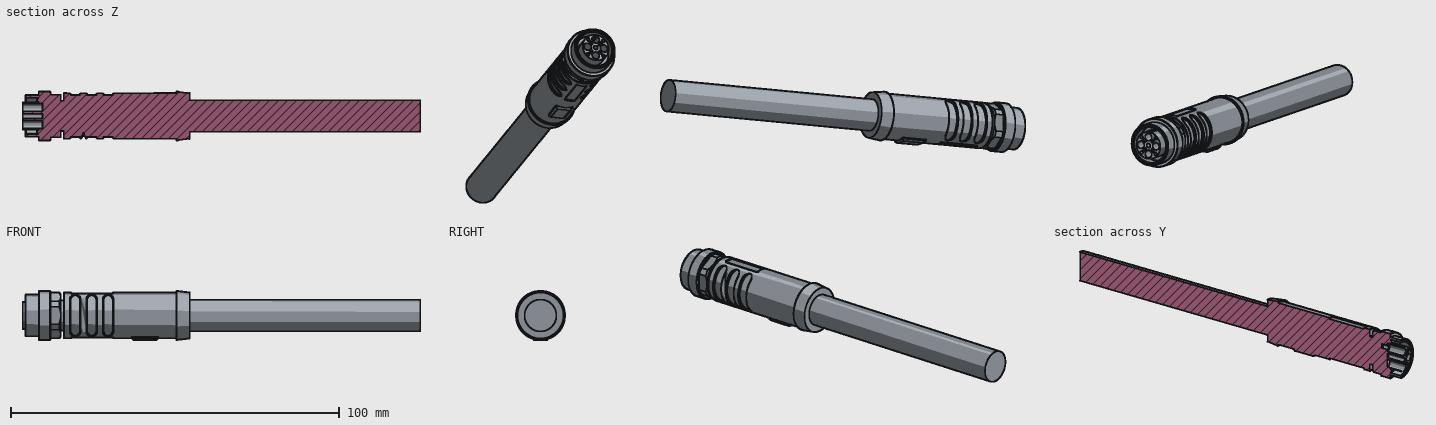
import cadquery as cq
import math

TOTAL_LENGTH = 121.0
SLEEVE_START = 0.75
RING_START = 4.85
RING_END = 8.6
NUT_END = 11.6
BODY_START = 12.5
COLLAR_START = 46.8
BODY_END = 50.9

SLEEVE_DIA = 12.8
SLEEVE_FACE_DIA = 12.3
RING_DIA = 15.0
NUT_CORNER_DIA = 14.0
NUT_ACROSS_FLATS = 13.0
NECK_DIA = 9.3
BODY_DIA = 14.0
COLLAR_DIA = 15.0
CABLE_DIA = 9.7
FRONT_EDGE_CHAMFER = 0.15
RING_BACK_CHAMFER = 0.35
NUT_CHAMFER = 0.5
NUT_SIDES = 6

BORE_DIA = 10.95
BORE_CHAMFER = 0.35
BORE_END = 5.0
INSERT_DIA = 8.3
SEAL_SECTION_RADIUS = (BORE_DIA - INSERT_DIA) / 4
SEAL_RING_RADIUS = (BORE_DIA + INSERT_DIA) / 4

CONTACT_DIA = 2.3
CONTACT_COUNT = 4
CONTACT_PITCH_RADIUS = 2.6
CONTACT_DEPTH = 6.0
INNER_CONTACT_DIA = 1.2
INNER_CONTACT_DEPTH = 8.0
CENTRE_HOLE_DIA = 1.3
SLOT_WIDTH = 0.4
SLOT_INNER_RADIUS = 1.5
SLOT_OUTER_RADIUS = 3.4
SLOT_END_DIA = 0.9
SLOT_DEPTH = 4.0
KEYWAY_WIDTH = 1.0
KEYWAY_OUTER_RADIUS = 4.0

GRIP_COUNT = 3
GRIP_FIRST = 16.0
GRIP_PITCH = 5.0
GRIP_WIDTH = 2.7
GRIP_FLOOR_DIA = 12.8
GRIP_HALF_HEIGHT = 6.15
GRIP_EDGE_CHAMFER = 0.3
SURFACE_TOLERANCE = 0.01

POCKET_START = 14.7
POCKET_END = 27.6
POCKET_WIDTH = 3.3
POCKET_FLOOR = 6.6
POCKET_CORNER = 0.5

PAD_START = 33.2
PAD_END = 41.3
PAD_WIDTH = 5.2
PAD_CHAMFER = 0.6
PAD_BOTTOM = -RING_DIA / 2


def turned(points):
    """Solid of revolution about X from (x, radius) points, closed along the axis."""
    first_x = points[0][0]
    last_x = points[-1][0]
    outline = [(first_x, 0), *points, (last_x, 0)]
    return cq.Workplane("XZ").polyline(outline).close().revolve(360, (0, 0, 0), (1, 0, 0))


def cylinder(dia, start, end):
    return turned([(start, dia / 2), (end, dia / 2)])


def make_sleeve():
    front_chamfer = (SLEEVE_DIA - SLEEVE_FACE_DIA) / 2
    return turned([
        (SLEEVE_START, SLEEVE_FACE_DIA / 2),
        (SLEEVE_START + front_chamfer, SLEEVE_DIA / 2),
        (RING_START, SLEEVE_DIA / 2),
        (RING_START, RING_DIA / 2 - FRONT_EDGE_CHAMFER),
        (RING_START + FRONT_EDGE_CHAMFER, RING_DIA / 2),
        (RING_END - RING_BACK_CHAMFER, RING_DIA / 2),
        (RING_END, RING_DIA / 2 - RING_BACK_CHAMFER),
    ])


def make_nut():
    """Hexagon with a flat facing each side (Y), its corners turned down and its end chamfered."""
    hexagon = (
        cq.Workplane("YZ", origin=(RING_END, 0, 0))
        .polygon(NUT_SIDES, NUT_ACROSS_FLATS, circumscribed=True)
        .extrude(NUT_END - RING_END)
    )
    blank = turned([
        (RING_END, NUT_CORNER_DIA / 2),
        (NUT_END - NUT_CHAMFER, NUT_CORNER_DIA / 2),
        (NUT_END, NUT_CORNER_DIA / 2 - NUT_CHAMFER),
    ])
    return hexagon.intersect(blank)


def make_bore():
    return turned([
        (SLEEVE_START, BORE_DIA / 2 + BORE_CHAMFER),
        (SLEEVE_START + BORE_CHAMFER, BORE_DIA / 2),
        (BORE_END, BORE_DIA / 2),
    ])


def cut_insert_openings(part):
    part = part.cut(make_contact_holes()).cut(make_keyway())
    contact_spacing = 360 / CONTACT_COUNT
    for i in range(CONTACT_COUNT):
        part = part.cut(make_slot((i + 0.5) * contact_spacing))
    return part


def make_contact_holes():
    """Contact holes and centre hole, the top contact hole stepped down to a deeper bore."""
    holes = (
        cq.Workplane("YZ")
        .polarArray(CONTACT_PITCH_RADIUS, 0, 360, CONTACT_COUNT)
        .circle(CONTACT_DIA / 2)
        .extrude(CONTACT_DEPTH)
    )
    inner_contact = cylinder(INNER_CONTACT_DIA, 0, INNER_CONTACT_DEPTH)
    inner_contact = inner_contact.translate((0, 0, CONTACT_PITCH_RADIUS))
    return holes.union(inner_contact).union(cylinder(CENTRE_HOLE_DIA, 0, CONTACT_DEPTH))


def make_keyway():
    """Slot running outward from the top contact hole."""
    length = KEYWAY_OUTER_RADIUS - CONTACT_PITCH_RADIUS
    return cq.Workplane("XY", origin=(0, 0, CONTACT_PITCH_RADIUS)).box(
        CONTACT_DEPTH, KEYWAY_WIDTH, length, centered=(False, True, False)
    )


def make_slot(angle):
    """Radial slot between two contact holes, opening into a round outer end."""
    length = SLOT_OUTER_RADIUS - SLOT_INNER_RADIUS
    outer_end = cylinder(SLOT_END_DIA, 0, SLOT_DEPTH).translate((0, 0, SLOT_OUTER_RADIUS))
    return (
        cq.Workplane("XY", origin=(0, 0, SLOT_INNER_RADIUS))
        .box(SLOT_DEPTH, SLOT_WIDTH, length, centered=(False, True, False))
        .union(outer_end)
        .rotate((0, 0, 0), (1, 0, 0), angle)
    )


def make_seal():
    ring = cq.Solid.makeTorus(
        SEAL_RING_RADIUS, SEAL_SECTION_RADIUS, cq.Vector(BORE_END, 0, 0), cq.Vector(1, 0, 0)
    )
    return cq.Workplane(obj=ring)


def make_shell():
    """Grip body with a collar tapering toward the cable."""
    return turned([
        (BODY_START, BODY_DIA / 2 - FRONT_EDGE_CHAMFER),
        (BODY_START + FRONT_EDGE_CHAMFER, BODY_DIA / 2),
        (COLLAR_START, BODY_DIA / 2),
        (COLLAR_START, COLLAR_DIA / 2 - FRONT_EDGE_CHAMFER),
        (COLLAR_START + FRONT_EDGE_CHAMFER, COLLAR_DIA / 2),
        (BODY_END, BODY_DIA / 2),
    ])


def is_grip_rim(edge):
    """True for an edge on the outer body surface within the span of the grooves."""
    box = edge.BoundingBox()
    grip_end = GRIP_FIRST + (GRIP_COUNT - 1) * GRIP_PITCH
    in_span = box.xmin > GRIP_FIRST - GRIP_WIDTH and box.xmax < grip_end + GRIP_WIDTH
    point = edge.positionAt(0.5)
    radius = math.hypot(point.y, point.z)
    return in_span and abs(radius - BODY_DIA / 2) < SURFACE_TOLERANCE


def cut_grip_grooves(shell):
    """Round-ended grooves cut to a common floor cylinder, with chamfered rims."""
    slots = (
        cq.Workplane("XZ")
        .pushPoints([(GRIP_FIRST + i * GRIP_PITCH, 0) for i in range(GRIP_COUNT)])
        .slot2D(2 * GRIP_HALF_HEIGHT, GRIP_WIDTH, 90)
        .extrude(BODY_DIA, both=True)
        .cut(cylinder(GRIP_FLOOR_DIA, BODY_START, COLLAR_START))
    )
    grooved = shell.cut(slots)
    rims = [edge for edge in grooved.edges().vals() if is_grip_rim(edge)]
    return grooved.newObject(rims).chamfer(GRIP_EDGE_CHAMFER)


def make_pocket(side):
    """Flat pocket on the top (side = 1) or bottom (side = -1) of the body."""
    return (
        cq.Workplane("XY", origin=((POCKET_START + POCKET_END) / 2, 0, side * POCKET_FLOOR))
        .rect(POCKET_END - POCKET_START, POCKET_WIDTH)
        .extrude(side * (BODY_DIA / 2 - POCKET_FLOOR))
        .edges("|Z")
        .fillet(POCKET_CORNER)
    )


def make_pad():
    return (
        cq.Workplane("XY", origin=(PAD_START, 0, PAD_BOTTOM))
        .box(PAD_END - PAD_START, PAD_WIDTH, -PAD_BOTTOM, centered=(False, True, False))
        .faces("<Z")
        .chamfer(PAD_CHAMFER)
    )


body = cut_grip_grooves(make_shell())
for side in (1, -1):
    body = body.cut(make_pocket(side))
body = body.union(make_pad())

coupling = make_sleeve().union(make_nut()).cut(make_bore())
coupling = cut_insert_openings(coupling.union(cylinder(INSERT_DIA, 0, BORE_END)))

result = (
    coupling.union(make_seal())
    .union(cylinder(NECK_DIA, NUT_END, BODY_START))
    .union(body)
    .union(cylinder(CABLE_DIA, BODY_END, TOTAL_LENGTH))
)